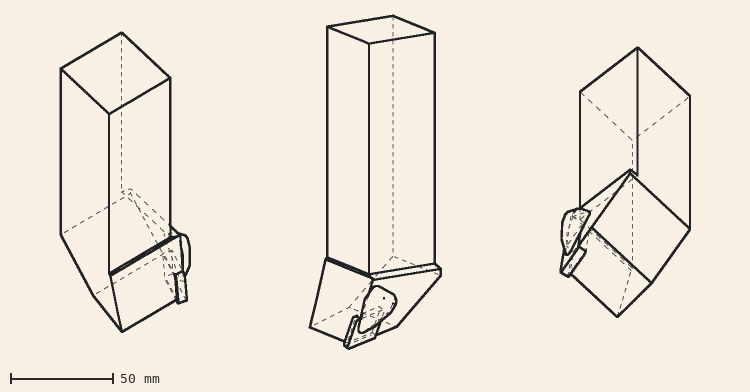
import cadquery as cq
import math


total_height = 152.4
shank_size = 38.1

head_depth = 43.6
shoulder_height = 35.8
shoulder_angle = 15.0
shoulder_step = 0.9
heel_height = 31.0
toe_x, toe_height = 25.5, 8.7
relief_x, relief_height = 44.8, 13.3
nose_x, nose_height = 48.2, 1.8
step_x = shank_size + shoulder_step
step_height = shoulder_height - shoulder_step

rake_angle = 11.0
rake_line_x = step_x - toe_x
rake_line_z = step_height - toe_height
rake_line_length = math.hypot(rake_line_x, rake_line_z)
rake_slope = math.tan(math.radians(rake_angle))
rake_slope_x = -rake_slope * rake_line_z / rake_line_length
rake_slope_z = rake_slope * rake_line_x / rake_line_length
rake_normal = cq.Vector(-rake_slope_x, 1, -rake_slope_z)

tip_x = 50.7
insert_inscribed = 12.6
insert_angle = 55.0
insert_thickness = 4.7
insert_radius = 0.8
lower_edge_angle = 163.0
insert_side = insert_inscribed / math.sin(math.radians(insert_angle))

clamp_x, clamp_z = 30.5, 30.0
clamp_axis_angle = -58.0
clamp_width = 19.2
clamp_flank = 11.5
clamp_nose = 21.3
clamp_length = clamp_flank + clamp_nose
clamp_root = 36.5
clamp_height = 14.0
clamp_draft = 18.0
clamp_top_slope = 9.0
clamp_corner_radius = 2.7
clamp_rim_radius = 3.0

reach = 91.5


def rake_plane(x, z):
    """Plane in the rake face with its origin at X, Z and its local X along the insert's lower edge."""
    y = head_depth + rake_slope_x * (x - toe_x) + rake_slope_z * (z - toe_height)
    edge_x = math.cos(math.radians(lower_edge_angle))
    edge_z = math.sin(math.radians(lower_edge_angle))
    edge_y = rake_slope_x * edge_x + rake_slope_z * edge_z
    return cq.Plane(origin=(x, y, z), xDir=(edge_x, edge_y, edge_z), normal=rake_normal)


def make_rake_space():
    """Everything behind the rake face."""
    return cq.Workplane(rake_plane(toe_x, toe_height)).rect(2 * reach, 2 * reach).extrude(reach)


def make_shank():
    shank_length = total_height - shoulder_height
    shank = cq.Workplane("XY").box(shank_size, shank_size, shank_length, centered=False)
    return shank.translate((0, 0, shoulder_height))


def make_head():
    outline = [
        (0, shoulder_height),
        (0, heel_height),
        (toe_x, toe_height),
        (nose_x, nose_height),
        (relief_x, relief_height),
        (step_x, step_height),
        (shank_size, shoulder_height),
    ]
    head = cq.Workplane("XZ").polyline(outline).close().extrude(-head_depth)

    drop = (head_depth - shank_size) * math.tan(math.radians(shoulder_angle))
    shoulder_cut = (
        cq.Workplane("YZ")
        .moveTo(shank_size, shoulder_height)
        .lineTo(head_depth, shoulder_height)
        .lineTo(head_depth, shoulder_height - drop)
        .close()
        .extrude(step_x)
    )
    return head.cut(shoulder_cut).cut(make_rake_space())


def make_clamp():
    axis = math.radians(clamp_axis_angle)
    root_plane = cq.Plane(
        origin=(clamp_x, clamp_root, clamp_z),
        xDir=(math.cos(axis), 0, math.sin(axis)),
        normal=(0, 1, 0),
    )
    half_width = clamp_width / 2
    outline = [
        (0, -half_width),
        (clamp_flank, -half_width),
        (clamp_length, 0),
        (clamp_flank, half_width),
        (0, half_width),
    ]
    clamp = (
        cq.Workplane(root_plane)
        .polyline(outline)
        .close()
        .extrude(clamp_height, taper=clamp_draft)
        .edges("not(<Y or >Y)")
        .fillet(clamp_corner_radius)
    )

    top_plane = root_plane.rotated((0, clamp_top_slope, 0))
    top_plane.origin = root_plane.toWorldCoords((0, 0, clamp_height))
    top_cut = cq.Workplane(top_plane).rect(2 * reach, 2 * reach).extrude(reach)
    clamp = clamp.cut(top_cut).faces(">Y").edges().fillet(clamp_rim_radius)

    below_back = cq.Workplane("XZ").rect(2 * reach, 2 * reach).extrude(-head_depth)
    return clamp.cut(below_back.cut(make_rake_space()))


def make_insert():
    tip_plane = rake_plane(tip_x - insert_radius, insert_radius)
    corner_offset = insert_radius / math.tan(math.radians(insert_angle / 2))
    skew = insert_side * math.cos(math.radians(insert_angle))
    return (
        cq.Workplane(tip_plane)
        .moveTo(-corner_offset, -insert_radius)
        .line(insert_side, 0)
        .line(skew, insert_inscribed)
        .line(-insert_side, 0)
        .close()
        .extrude(-insert_thickness)
        .edges(cq.selectors.ParallelDirSelector(rake_normal))
        .fillet(insert_radius)
    )


insert = make_insert()
holder = make_shank().union(make_head()).union(make_clamp()).cut(insert)

result = cq.Compound.makeCompound([holder.solids().val(), insert.val()])